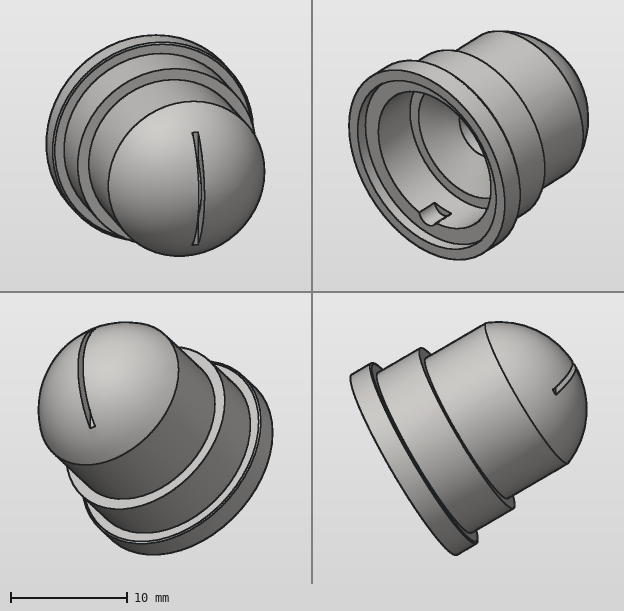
import cadquery as cq
import math

total_length = 17.08
flange_radius = 9.0
flange_length = 2.05
flange_bevel_length = 0.07
flange_bevel_depth = 0.18
hub_radius = 8.0
hub_end = 6.3
body_radius = 7.0
body_end = 12.35

slot_width = 0.5
slot_depth = 2.0

recess_radius = hub_radius
recess_depth = 1.0
bore_radius = 6.5
bore_end = 5.1
cone_radius = 5.5
cone_end = 7.0
tip_bore_radius = 2.5
tip_bore_end = total_length - slot_depth
tip_wall = 1.0

key_radius = 1.0
key_y = 0.8
key_z = -6.08
key_length = 2.0

dome_height = total_length - body_end
dome_radius = (dome_height**2 + body_radius**2) / (2 * dome_height)
dome_center = total_length - dome_radius


def arc_middle(center_x, radius, start_radius):
    """Midpoint of an arc from start_radius down to the X axis."""
    angle = math.asin(start_radius / radius) / 2
    return center_x + radius * math.cos(angle), radius * math.sin(angle)


def revolve_about_x(outline):
    return outline.close().revolve(360, (0, 0, 0), (1, 0, 0))


def outer_body():
    outline = (
        cq.Workplane("XY")
        .lineTo(0, flange_radius)
        .lineTo(flange_length - flange_bevel_length, flange_radius)
        .lineTo(flange_length, flange_radius - flange_bevel_depth)
        .lineTo(flange_length, hub_radius)
        .lineTo(hub_end, hub_radius)
        .lineTo(hub_end, body_radius)
        .lineTo(body_end, body_radius)
        .threePointArc(arc_middle(dome_center, dome_radius, body_radius), (total_length, 0))
    )
    return revolve_about_x(outline)


def cavity():
    cap_tip = total_length - tip_wall
    cap_height = cap_tip - tip_bore_end
    cap_radius = (cap_height**2 + tip_bore_radius**2) / (2 * cap_height)
    outline = (
        cq.Workplane("XY")
        .lineTo(0, recess_radius)
        .lineTo(recess_depth, recess_radius)
        .lineTo(recess_depth, bore_radius)
        .lineTo(bore_end, bore_radius)
        .lineTo(bore_end, cone_radius)
        .lineTo(cone_end, tip_bore_radius)
        .lineTo(tip_bore_end, tip_bore_radius)
        .threePointArc(arc_middle(cap_tip - cap_radius, cap_radius, tip_bore_radius), (cap_tip, 0))
    )
    return revolve_about_x(outline)


def tip_slot():
    return cq.Workplane("XY").box(
        slot_depth, slot_width, 2 * body_radius, centered=(False, True, True)
    ).translate((total_length - slot_depth, 0, 0))


def keyway():
    return (
        cq.Workplane("YZ", origin=(recess_depth, 0, 0))
        .center(key_y, key_z)
        .circle(key_radius)
        .extrude(key_length)
    )


result = outer_body().cut(cavity()).cut(tip_slot()).cut(keyway())